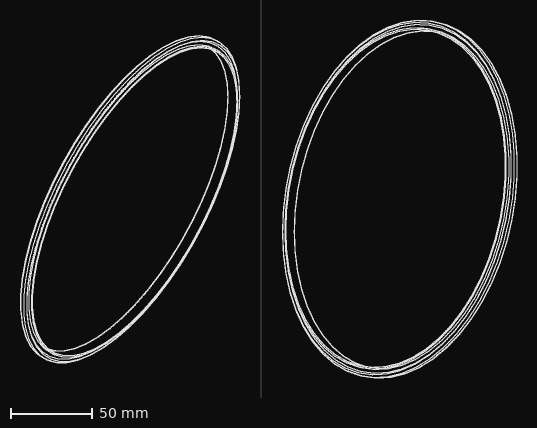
import cadquery as cq

outer_radius = 223 / 2
band_outer_radius = 213.0 / 2
band_inner_radius = 211.0 / 2
band_half_width = 7.0 / 2

crown_half_width = 1.1
rim_half_width = 2.5
flank_height = 1.5
undercut_size = 1.1
rim_peak_radius = outer_radius - flank_height
web_outer_radius = rim_peak_radius - undercut_size
web_half_width = rim_half_width - undercut_size

side_points = [
    (band_half_width, band_inner_radius),
    (band_half_width, band_outer_radius),
    (web_half_width, band_outer_radius),
    (web_half_width, web_outer_radius),
    (rim_half_width, rim_peak_radius),
    (crown_half_width, outer_radius),
]
mirrored_points = [(-axial, radial) for axial, radial in reversed(side_points)]

result = (
    cq.Workplane("XY")
    .polyline(side_points + mirrored_points)
    .close()
    .revolve(360, (0, 0, 0), (1, 0, 0))
)